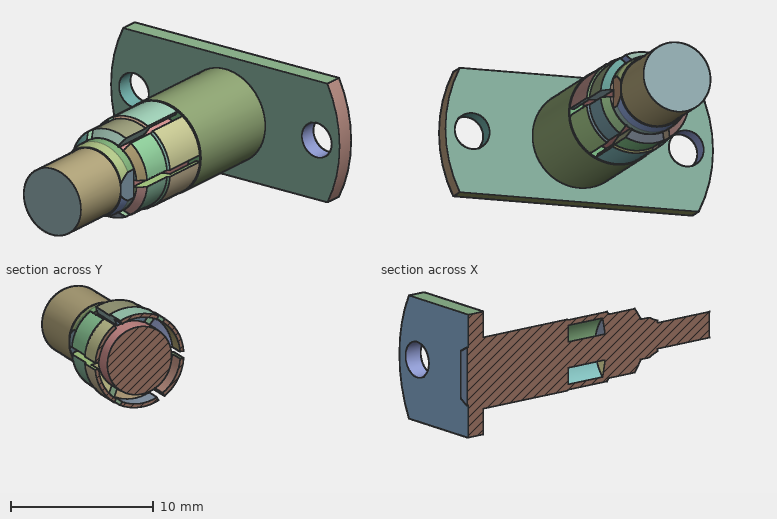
import cadquery as cq
import math

overall_length = 22

flange_diameter = 20.0
flange_height = 9.0
flange_thickness = 1.39
hole_diameter = 2.6
hole_spacing = 16.0

hex_across_flats = 6.0
hex_height = 0.1

barrel_radius = 3.5
sleeve_radius = 3.45
finger_radius = 3.3
finger_tip_radius = 2.77
collar_radius = 2.75
cone_end_radius = 2.57
tip_radius = 2.5

shaft_length = overall_length - flange_thickness - hex_height
barrel_end = 7.61
barrel_edge_length = 0.09
sleeve_start = barrel_end + barrel_edge_length
sleeve_end = 11.22
finger_start = sleeve_end + sleeve_radius - finger_radius
finger_end = 14.25
finger_chamfer = finger_radius - finger_tip_radius
finger_straight_end = finger_end - finger_chamfer
collar_end = 15.0
cone_end = 15.8

collar_flat_distance = 2.53

slot_count = 6
slot_width = 0.5
core_radius = tip_radius

cavity_radius = 3.15
cavity_straight_end = 10.78
cavity_end = 11.0


def make_flange():
    """Disc trimmed to two parallel edges, with a mounting hole at each end."""
    disc = cq.Workplane("XZ").circle(flange_diameter / 2).extrude(-flange_thickness)
    band = cq.Workplane("XZ").rect(flange_diameter, flange_height).extrude(-flange_thickness)
    holes = (
        cq.Workplane("XZ")
        .pushPoints([(-hole_spacing / 2, 0), (hole_spacing / 2, 0)])
        .circle(hole_diameter / 2)
        .extrude(-flange_thickness)
    )
    return disc.intersect(band).cut(holes)


def make_hex_boss():
    """Hexagon with its flats facing +X and -X."""
    across_corners = hex_across_flats / math.cos(math.pi / 6)
    return (
        cq.Workplane("XZ", origin=(0, flange_thickness, 0))
        .transformed(rotate=(0, 0, 90))
        .polygon(6, across_corners)
        .extrude(-hex_height)
    )


def revolve_about_y(radius_and_distance):
    """Turn an outline of (radius, forward distance) points about the Y axis."""
    points = [(radius, -distance) for radius, distance in radius_and_distance]
    return cq.Workplane("XY").polyline(points).close().revolve(360, (0, 0), (0, 1))


def make_shaft():
    """Solid shaft, stepping down from the barrel to the tip."""
    return revolve_about_y([
        (0, 0),
        (barrel_radius, 0),
        (barrel_radius, barrel_end),
        (sleeve_radius, sleeve_start),
        (sleeve_radius, sleeve_end),
        (finger_radius, finger_start),
        (finger_radius, finger_straight_end),
        (finger_tip_radius, finger_end),
        (collar_radius, finger_end),
        (collar_radius, collar_end),
        (cone_end_radius, cone_end),
        (tip_radius, cone_end),
        (tip_radius, shaft_length),
        (0, shaft_length),
    ])


def make_cavity():
    """Ring-shaped hollow around the core, closed at the front by a steep cone."""
    return revolve_about_y([
        (core_radius, sleeve_start),
        (cavity_radius, sleeve_start),
        (cavity_radius, cavity_straight_end),
        (core_radius, cavity_end),
    ])


def make_slots():
    """Radial slots between the fingers, from the barrel to the finger tips."""
    ring = revolve_about_y([
        (core_radius, sleeve_start),
        (barrel_radius, sleeve_start),
        (barrel_radius, finger_end),
        (core_radius, finger_end),
    ])
    bars = cq.Workplane("XZ")
    for index in range(slot_count // 2):
        bar = (
            cq.Workplane("XZ")
            .transformed(rotate=(0, 0, index * 360 / slot_count))
            .rect(2 * barrel_radius, slot_width)
            .extrude(shaft_length)
        )
        bars = bars.add(bar)
    return ring.intersect(bars.combine())


def make_collar_flats():
    """Material outside the two flats, along the collar and its cone."""
    depth = collar_radius - collar_flat_distance
    center = collar_flat_distance + depth / 2
    return (
        cq.Workplane("XZ", origin=(0, -finger_end, 0))
        .pushPoints([(-center, 0), (center, 0)])
        .rect(depth, 2 * collar_radius)
        .extrude(cone_end - finger_end)
    )


shaft = make_shaft().cut(make_cavity()).cut(make_slots()).cut(make_collar_flats())
result = make_flange().union(make_hex_boss()).union(shaft)